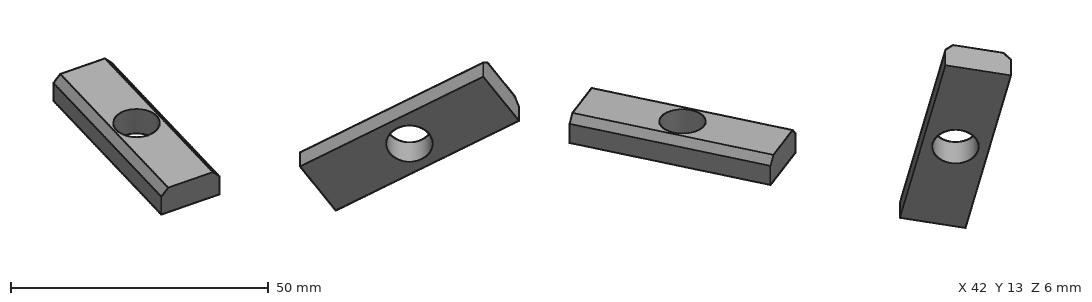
import cadquery as cq

length = 42.0
width = 13.0
height = 6.0
bevel_width = 1.5
bevel_height = 1.65
hole_diameter = 9.0

half_width = width / 2
half_top = half_width - bevel_width
shoulder_height = height - bevel_height
profile = [
    (-half_width, 0),
    (half_width, 0),
    (half_width, shoulder_height),
    (half_top, height),
    (-half_top, height),
    (-half_width, shoulder_height),
]
bar = cq.Workplane("YZ").polyline(profile).close().extrude(length / 2, both=True)

hole = cq.Workplane("XY").circle(hole_diameter / 2).extrude(height)

result = bar.cut(hole)